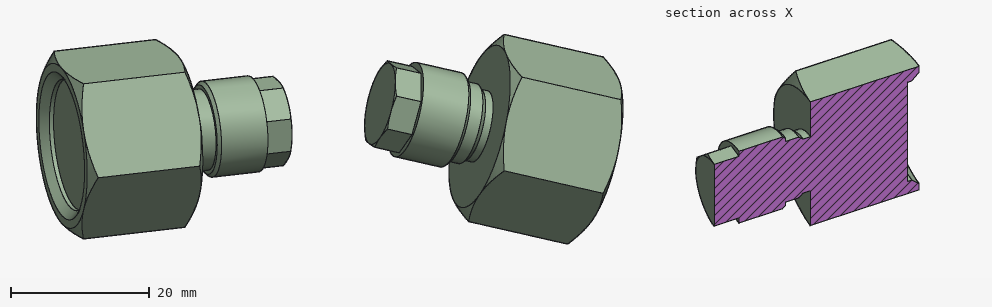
import cadquery as cq
import math

total_length = 33.0
nut_length = 17.52
neck_length = 1.15
neck_cone_length = 0.7
collar_length = 7.52
octagon_length = 4.0

nut_flats = 24.0
neck_diameter = 10.55
step_diameter = 11.85
collar_diameter = 14.0
octagon_flats = 12.0

collar_chamfer = 0.5
nut_chamfer_angle = 30.0
octagon_chamfer_angle = 22.0
recess_mouth_diameter = 21.5
recess_floor_diameter = 19.1
recess_cone_depth = (recess_mouth_diameter - recess_floor_diameter) / 2
recess_straight_depth = 0.63
recess_depth = recess_cone_depth + recess_straight_depth

octagon_start = total_length - octagon_length
collar_start = octagon_start - collar_length
neck_end = nut_length + neck_length


def revolve_profile(points):
    """Revolve a closed (radius, y) outline around the Y axis."""
    return cq.Workplane("XY").polyline(points).close().revolve(360, (0, 0, 0), (0, 1, 0))


def prism(sides, flats, start, length, turn=0.0):
    """Regular prism along +Y, sized across its flats."""
    corner_diameter = flats / math.cos(math.pi / sides)
    body = cq.Workplane("XZ", origin=(0, start, 0)).polygon(sides, corner_diameter).extrude(-length)
    return body.rotate((0, 0, 0), (0, 1, 0), turn)


def corner_drop(sides, flats, angle):
    """Radial and axial extent of a corner chamfer starting at the inscribed circle."""
    radial = flats / 2 * (1 / math.cos(math.pi / sides) - 1)
    return radial, radial * math.tan(math.radians(angle))


def make_nut():
    nut = prism(6, nut_flats, 0, nut_length)
    face_radius = nut_flats / 2
    radial, drop = corner_drop(6, nut_flats, nut_chamfer_angle)
    corner_radius = face_radius + radial
    envelope = revolve_profile([
        (0, 0),
        (face_radius, 0),
        (corner_radius, drop),
        (corner_radius, nut_length - drop),
        (face_radius, nut_length),
        (0, nut_length),
    ])
    return nut.intersect(envelope)


def make_recess():
    return revolve_profile([
        (0, 0),
        (recess_mouth_diameter / 2, 0),
        (recess_floor_diameter / 2, recess_cone_depth),
        (recess_floor_diameter / 2, recess_depth),
        (0, recess_depth),
    ])


def make_stem():
    neck_radius = neck_diameter / 2
    step_radius = step_diameter / 2
    collar_radius = collar_diameter / 2
    return revolve_profile([
        (0, nut_length),
        (neck_radius, nut_length),
        (neck_radius, neck_end),
        (step_radius, neck_end + neck_cone_length),
        (step_radius, collar_start),
        (collar_radius - collar_chamfer, collar_start),
        (collar_radius, collar_start + collar_chamfer),
        (collar_radius, octagon_start),
        (0, octagon_start),
    ])


def make_octagon():
    octagon = prism(8, octagon_flats, octagon_start, octagon_length, turn=180 / 8)
    face_radius = octagon_flats / 2
    radial, drop = corner_drop(8, octagon_flats, octagon_chamfer_angle)
    corner_radius = face_radius + radial
    envelope = revolve_profile([
        (0, octagon_start),
        (corner_radius, octagon_start),
        (corner_radius, total_length - drop),
        (face_radius, total_length),
        (0, total_length),
    ])
    return octagon.intersect(envelope)


result = make_nut().union(make_stem()).union(make_octagon()).cut(make_recess())